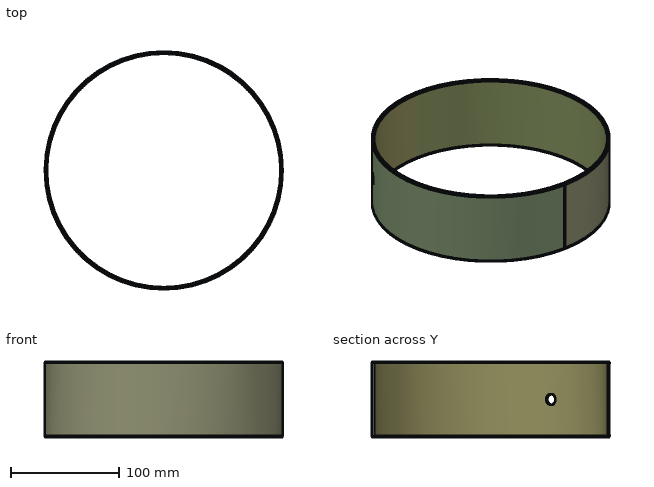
import cadquery as cq

outer_diameter = 220.0
wall = 2.5
height = 70.0

bevel_height = 1.5
bevel_width = 0.7

split_width = 1.8

hole_diameter = 10.0
hole_angle = 59.0

outer_radius = outer_diameter / 2
inner_radius = outer_radius - wall
cut_depth = 4 * wall


def make_band():
    """Ring centred on the origin, revolved from its bevelled wall section."""
    rim = height / 2
    shoulder = rim - bevel_height
    section = [
        (inner_radius, -shoulder),
        (inner_radius + bevel_width, -rim),
        (outer_radius - bevel_width, -rim),
        (outer_radius, -shoulder),
        (outer_radius, shoulder),
        (outer_radius - bevel_width, rim),
        (inner_radius + bevel_width, rim),
        (inner_radius, shoulder),
    ]
    return cq.Workplane("XZ").polyline(section).close().revolve(360, (0, 0), (0, 1))


def make_split():
    """Full-height slit that opens the ring."""
    cutter = cq.Workplane("XY").box(cut_depth, split_width, 2 * height)
    return cutter.translate((-outer_radius, split_width / 2, 0))


def make_hole():
    """Radial cutter at mid-height, turned to the hole's place on the ring."""
    return (
        cq.Workplane("YZ", origin=(outer_radius - cut_depth / 2, 0, 0))
        .circle(hole_diameter / 2)
        .extrude(cut_depth)
        .rotate((0, 0, 0), (0, 0, 1), hole_angle)
    )


result = make_band().cut(make_split()).cut(make_hole())